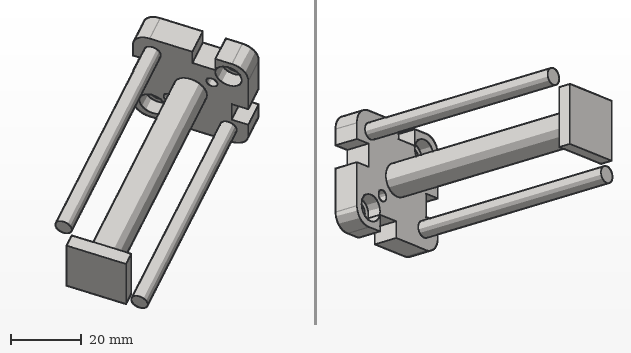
import cadquery as cq

total_length = 80.0
plate_side = 35.0
plate_thickness = 8.0
corner_radius = 5.0

head_side = 18.1
head_thickness = 4.0
rod_end = total_length - head_thickness

pattern_offset = 11.5
center_rod_diameter = 10.0
guide_rod_diameter = 5.0

bolt_hole_diameter = 5.0
counterbore_diameter = 8.0
counterbore_depth = 4.3

small_hole_offset = 6.5
small_hole_diameter = 3.4

notch_width = 7.0
notch_depth = 5.0
notch_center = pattern_offset - counterbore_diameter / 2 - notch_width / 2


def diagonal_pair(offset):
    """Two points on the diagonal that rises toward +X and +Z."""
    return [(offset, offset), (-offset, -offset)]


def cylinders(points, diameter, start, end):
    """Cylinders along -Y between two distances from the plate's back."""
    plane = cq.Workplane("XZ").workplane(offset=start)
    return plane.pushPoints(points).circle(diameter / 2).extrude(end - start)


def make_plate():
    plate = cq.Workplane("XZ").rect(plate_side, plate_side).extrude(plate_thickness)
    plate = plate.edges("|Y").fillet(corner_radius)

    notch = (
        cq.Workplane("XZ")
        .center(notch_center, plate_side / 2 - notch_depth / 2)
        .rect(notch_width, notch_depth)
        .extrude(plate_thickness)
    )
    for angle in (0, 90, 180, 270):
        plate = plate.cut(notch.rotate((0, 0, 0), (0, 1, 0), angle))

    bolt_points = diagonal_pair(pattern_offset)
    counterbore_floor = plate_thickness - counterbore_depth
    small_points = diagonal_pair(small_hole_offset)
    plate = plate.cut(cylinders(bolt_points, bolt_hole_diameter, 0, plate_thickness))
    plate = plate.cut(cylinders(bolt_points, counterbore_diameter, counterbore_floor, plate_thickness))
    return plate.cut(cylinders(small_points, small_hole_diameter, 0, plate_thickness))


def make_head():
    plane = cq.Workplane("XZ").workplane(offset=rod_end)
    return plane.rect(head_side, head_side).extrude(head_thickness)


guide_points = [(-pattern_offset, pattern_offset), (pattern_offset, -pattern_offset)]
center_rod = cylinders([(0, 0)], center_rod_diameter, plate_thickness, rod_end)
guide_rods = cylinders(guide_points, guide_rod_diameter, plate_thickness, rod_end)

result = make_plate().union(center_rod).union(guide_rods).union(make_head())